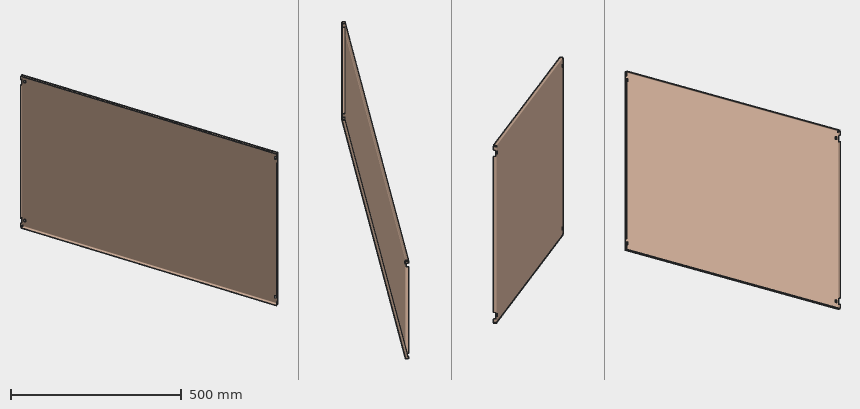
import cadquery as cq

WIDTH = 847.0
DEPTH = 10.0
HEIGHT = 550.0

THICKNESS = 1.5
INNER_RADIUS = 1.5
OUTER_RADIUS = INNER_RADIUS + THICKNESS

END_RIM_SETBACK = 2.25
SIDE_WALL_SETBACK = 3.75
RELIEF_RADIUS = 1.5

GAP_START = 15.5
GAP_END = 34.0
TAB_CHAMFER = 2.5
RIM_CHAMFER = 1.5

SLOT_WIDTH = 6.5
SLOT_LENGTH = 8.5
SLOT_FROM_SIDE = 10.0
SLOT_FROM_END = 24.0

BACK_Y = DEPTH / 2
FRONT_Y = -DEPTH / 2
BEND_END_Y = BACK_Y - OUTER_RADIUS
FLAT_WIDTH = WIDTH - 2 * OUTER_RADIUS
FLAT_HEIGHT = HEIGHT - 2 * OUTER_RADIUS


def corner_points(x, z):
    """The same point mirrored into all four corners, in the XZ plane."""
    return [(side * x, end * z) for side in (-1, 1) for end in (-1, 1)]


def half_turn(shape):
    """The shape turned onto the opposite side of the panel."""
    return shape.rotate((0, 0, 0), (0, 1, 0), 180)


def flat_sheet():
    """Flat back of the panel, between the bends."""
    sheet = cq.Workplane("XY").box(FLAT_WIDTH, THICKNESS, FLAT_HEIGHT)
    return sheet.translate((0, BACK_Y - THICKNESS / 2, 0))


def rim(outside, length):
    """Quarter bend and upright wall along Z, with the outer face of the wall at x = outside."""
    inside = outside - THICKNESS
    bend_start = outside - OUTER_RADIUS
    return (
        cq.Workplane("XY")
        .moveTo(bend_start, BACK_Y)
        .radiusArc((outside, BEND_END_Y), OUTER_RADIUS)
        .lineTo(outside, FRONT_Y)
        .lineTo(inside, FRONT_Y)
        .lineTo(inside, BEND_END_Y)
        .radiusArc((bend_start, BACK_Y - THICKNESS), -INNER_RADIUS)
        .close()
        .extrude(length / 2, both=True)
    )


def upper_gap():
    """Cutter for the upper gap of the +X rim: bend to free edge, with chamfers at its mouth."""
    top_z = HEIGHT / 2 - GAP_START
    bottom_z = HEIGHT / 2 - GAP_END
    return (
        cq.Workplane("YZ", origin=(WIDTH / 2, 0, 0))
        .moveTo(BEND_END_Y, top_z)
        .lineTo(FRONT_Y + TAB_CHAMFER, top_z)
        .lineTo(FRONT_Y, top_z + TAB_CHAMFER)
        .lineTo(FRONT_Y, bottom_z - RIM_CHAMFER)
        .lineTo(FRONT_Y + RIM_CHAMFER, bottom_z)
        .lineTo(BEND_END_Y, bottom_z)
        .close()
        .extrude(OUTER_RADIUS, both=True)
    )


def side_rim():
    """Rim of the +X side: its bend runs to the flat's ends, its wall stops shorter and has two gaps."""
    bend = rim(WIDTH / 2, FLAT_HEIGHT)
    wall_length = HEIGHT - 2 * SIDE_WALL_SETBACK
    wall_end = cq.Workplane("XY").box(
        2 * OUTER_RADIUS, BEND_END_Y - FRONT_Y, SIDE_WALL_SETBACK
    )
    upper_end = wall_end.translate(
        (WIDTH / 2, (BEND_END_Y + FRONT_Y) / 2, (wall_length + SIDE_WALL_SETBACK) / 2)
    )
    for cutter in (upper_end, upper_gap()):
        bend = bend.cut(cutter).cut(cutter.mirror("XY"))
    return bend


def top_rim():
    """Continuous rim of the top, reaching past the flat toward both sides."""
    return rim(HEIGHT / 2, WIDTH - 2 * END_RIM_SETBACK).rotate((0, 0, 0), (0, 1, 0), -90)


def corner_reliefs():
    """Round cutters through the bends, centred on the corners of the flat."""
    return (
        cq.Workplane("XZ", origin=(0, BACK_Y, 0))
        .pushPoints(corner_points(FLAT_WIDTH / 2, FLAT_HEIGHT / 2))
        .circle(RELIEF_RADIUS)
        .extrude(OUTER_RADIUS)
    )


def mounting_slots():
    """Cutters for the upright slots through the flat sheet."""
    slot_x = WIDTH / 2 - SLOT_FROM_SIDE
    slot_z = HEIGHT / 2 - SLOT_FROM_END
    return (
        cq.Workplane("XZ", origin=(0, BACK_Y, 0))
        .pushPoints(corner_points(slot_x, slot_z))
        .slot2D(SLOT_LENGTH, SLOT_WIDTH, 90)
        .extrude(THICKNESS)
    )


panel = flat_sheet()
for one_rim in (side_rim(), top_rim()):
    panel = panel.union(one_rim).union(half_turn(one_rim))
result = panel.cut(corner_reliefs()).cut(mounting_slots())